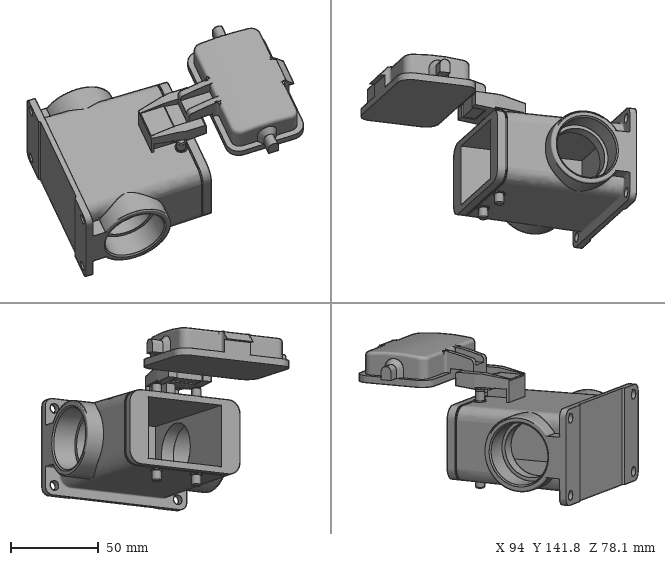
import cadquery as cq
import math

OVERLAP = 0.7

PLATE_X, PLATE_Z, PLATE_T = 94.0, 56.0, 4.1
PLATE_CORNER_R = 4.5
SCREW_D, SCREW_X, SCREW_Z = 5.5, 41.0, 22.4
RELIEF_X, RELIEF_DEPTH = 56.2, 1.0

BODY_Y = 80.5
BODY_BASE_X, BODY_BASE_Z = 75.2, 45.1
BODY_END_X, BODY_END_Z = 73.2, 43.1
BODY_CORNER_R = 7.5
GROOVE_Y, GROOVE_W, GROOVE_DEPTH = 74.6, 0.9, 0.3
CAVITY_X, CAVITY_Z, CAVITY_FLOOR_Y = 48.5, 35.7, 7.1
BASE_FILLET_R = 0.9
TRIM_X = 8.5

PORT_Y, PORT_R = 29.9, 21.8
PORT_BORE_R = 16.0
PORT_COUNTERBORE_R, PORT_COUNTERBORE_DEPTH = 18.0, 14.9
PORT_EDGE_R, PORT_MOUTH_CHAMFER = 0.9, 0.9
PORT_WEB_Z = 24.1

PIN_X, PIN_Y, PIN_R = 13.2, 71.0, 2.7
PIN_TIP_Z = 28.5
PIN_EDGE = 0.7
COLLAR_R, COLLAR_H = 3.47, 0.9

BRACKET_OUTER_X, BRACKET_END_X, HINGE_GAP_X = 28.6, 21.0, 17.2
BRACKET_TIP_Y, BRACKET_SLOPE_Y, BRACKET_END_Y = 86.0, 69.2, 54.0
BRACKET_TAPER_Y = 73.7
BRACKET_TOP_Z, BRACKET_END_Z, BRACKET_BOTTOM_Z = 37.6, 35.3, 29.6
BRACKET_TIP_CHAMFER = 0.7
HEEL_X, HEEL_Y, HEEL_Z = 24.7, 65.4, PIN_TIP_Z
SEAT_END_Z, SEAT_RIDGE_Z, SEAT_LOW_Z = 34.3, 35.0, 33.0
SEAT_STEP, SEAT_EDGE, SEAT_LOW_Y = 0.4, 0.5, 76.5
END_WALL_T = 1.4
RIB_Y, RIB_FLARE_Y, RIB_LEFT_X = 74.2, 60.5, 2.8

LID_Y = 115.5
LID_FLANGE_X, LID_FLANGE_Y, LID_FLANGE_R = 74.9, 46.8, 7.8
LID_BOTTOM_Z, LID_FLANGE_TOP_Z = 31.5, 35.6
LID_X, LID_DEPTH, LID_CORNER_R = 68.1, 40.0, 5.1
LID_FRONT_Y, LID_BACK_Y = LID_Y - LID_DEPTH / 2, LID_Y + LID_DEPTH / 2
LID_SIDE_Z, LID_CROWN_Z = 48.1, 49.6
LID_EDGE_R = 2.0
LID_BLEND_R = 1.7

LATCH_TIP_Y, LATCH_TIP_Z = 141.8, 42.8
LATCH_TOP_Y = 137.1
ARM_END_Y, ARM_BOTTOM_Z, ARM_KNUCKLE_Y = 77.6, 38.0, 85.1
ARM_NOSE_R = 2.8
ARM_RECESS_X, ARM_RECESS_Z = 9.8, 40.7
LUG_X, LUG_R, LUG_AXIS_Z = 89.0, 3.05, 40.4
LUG_CONE_R = 6.5


def xz_plane(y):
    """Workplane parallel to XZ at the given Y; local x points along -X, extruding toward +Y."""
    return cq.Workplane(cq.Plane(origin=(0, y, 0), xDir=(-1, 0, 0), normal=(0, 1, 0)))


def yz_prism(points, width):
    """Prism with a (Y, Z) outline, centred on X = 0."""
    return cq.Workplane("YZ").polyline(points).close().extrude(width / 2, both=True)


def upright_block(size_x, size_y, radius, z0, z1):
    """Round-cornered block of the lid, from z0 to z1."""
    block = cq.Workplane("XY").box(size_x, size_y, z1 - z0, centered=(True, True, False))
    return block.edges("|Z").fillet(radius).translate((0, LID_Y, z0))


def x_cylinder(radius, half_length):
    """Cylinder on the port axis, centred on X = 0."""
    return cq.Workplane("YZ").center(PORT_Y, 0).circle(radius).extrude(half_length, both=True)


def plate_outline_prism(depth):
    """Round-cornered prism with the plate outline, from Y = 0."""
    return xz_plane(0).rect(PLATE_X, PLATE_Z).extrude(depth).edges("|Y").fillet(PLATE_CORNER_R)


def hood_body():
    def section(size_x, size_z):
        return cq.Sketch().rect(size_x, size_z).vertices().fillet(BODY_CORNER_R)

    body = (
        xz_plane(0)
        .placeSketch(
            section(BODY_BASE_X, BODY_BASE_Z),
            section(BODY_END_X, BODY_END_Z).moved(cq.Location(cq.Vector(0, 0, BODY_Y))),
        )
        .loft()
    )
    groove_outer = xz_plane(GROOVE_Y).rect(PLATE_X, PLATE_Z).extrude(GROOVE_W)
    groove_core = xz_plane(GROOVE_Y).placeSketch(
        section(BODY_END_X - 2 * GROOVE_DEPTH, BODY_END_Z - 2 * GROOVE_DEPTH)
    ).extrude(GROOVE_W)
    return body.cut(groove_outer.cut(groove_core))


def port_bosses():
    bosses = x_cylinder(PORT_R, PLATE_X / 2).faces("<X or >X").edges().fillet(PORT_EDGE_R)
    web = cq.Workplane("XY").box(PLATE_X + TRIM_X, PORT_Y, PORT_WEB_Z).translate((0, PORT_Y / 2, 0))
    return bosses.union(web)


def port_bores():
    half = PLATE_X / 2
    bores = x_cylinder(PORT_BORE_R, half)
    step_x = half - PORT_COUNTERBORE_DEPTH
    for side in (-1, 1):
        start = cq.Workplane("YZ", origin=(side * step_x, PORT_Y, 0))
        bores = bores.union(start.circle(PORT_COUNTERBORE_R).extrude(side * PORT_COUNTERBORE_DEPTH))
        mouth_x = half - PORT_MOUTH_CHAMFER
        mouth = cq.Solid.makeCone(
            PORT_COUNTERBORE_R,
            PORT_COUNTERBORE_R + PORT_MOUTH_CHAMFER,
            PORT_MOUTH_CHAMFER,
            pnt=cq.Vector(side * mouth_x, PORT_Y, 0),
            dir=cq.Vector(side, 0, 0),
        )
        bores = bores.union(cq.Workplane(mouth))
    return bores


def housing():
    plate_blank = xz_plane(0).rect(PLATE_X + TRIM_X, PLATE_Z).extrude(PLATE_T)
    blank = plate_blank.union(hood_body()).union(port_bosses())
    foot_edges = cq.selectors.BoxSelector(
        (-PLATE_X / 2, PLATE_T - OVERLAP, -BODY_BASE_Z / 2 - OVERLAP),
        (PLATE_X / 2, PLATE_T + OVERLAP, BODY_BASE_Z / 2 + OVERLAP),
    )
    housing_solid = blank.edges(foot_edges).fillet(BASE_FILLET_R).intersect(plate_outline_prism(BODY_Y))
    cavity = xz_plane(CAVITY_FLOOR_Y).rect(CAVITY_X, CAVITY_Z).extrude(BODY_Y - CAVITY_FLOOR_Y)
    housing_solid = housing_solid.cut(cavity)
    housing_solid = housing_solid.cut(port_bores())
    screws = xz_plane(0).rect(2 * SCREW_X, 2 * SCREW_Z, forConstruction=True).vertices()
    housing_solid = housing_solid.cut(screws.circle(SCREW_D / 2).extrude(PLATE_T))
    half, foot = RELIEF_X / 2, RELIEF_X / 2 + RELIEF_DEPTH
    relief = (
        cq.Workplane("XY")
        .polyline([(-foot, 0), (-half, RELIEF_DEPTH), (half, RELIEF_DEPTH), (foot, 0)])
        .close()
        .extrude(PLATE_Z / 2, both=True)
    )
    return housing_solid.cut(relief)


def locking_pins():
    """Four pins with base collars, rooted inside the upper and lower body walls."""
    root_z = CAVITY_Z / 2
    collar_h = BODY_END_Z / 2 + COLLAR_H - root_z
    upper = (
        cq.Workplane("XY")
        .workplane(offset=root_z)
        .pushPoints([(-PIN_X, PIN_Y), (PIN_X, PIN_Y)])
        .circle(PIN_R)
        .extrude(PIN_TIP_Z - root_z)
        .faces(">Z")
        .edges()
        .chamfer(PIN_EDGE)
    )
    collars = cq.Workplane("XY").workplane(offset=root_z).pushPoints([(-PIN_X, PIN_Y), (PIN_X, PIN_Y)])
    upper = upper.union(collars.circle(COLLAR_R).extrude(collar_h))
    return upper.union(upper.mirror("XY"))


def hinge_bracket():
    wall_y = BRACKET_END_Y + END_WALL_T
    foot_z = BODY_END_Z / 2
    arms = yz_prism(
        [
            (BRACKET_TIP_Y, BRACKET_TOP_Z - BRACKET_TIP_CHAMFER),
            (BRACKET_TIP_Y - BRACKET_TIP_CHAMFER, BRACKET_TOP_Z),
            (BRACKET_SLOPE_Y, BRACKET_TOP_Z),
            (BRACKET_END_Y, BRACKET_END_Z),
            (BRACKET_END_Y, foot_z),
            (wall_y, foot_z),
            (wall_y, BRACKET_BOTTOM_Z),
            (BRACKET_TAPER_Y, BRACKET_BOTTOM_Z),
            (BRACKET_TAPER_Y, HEEL_Z),
            (BRACKET_TIP_Y, BRACKET_BOTTOM_Z),
        ],
        BRACKET_OUTER_X,
    )
    seat_clearance = yz_prism(
        [
            (BRACKET_END_Y, SEAT_END_Z),
            (BRACKET_END_Y + SEAT_EDGE, SEAT_END_Z + SEAT_EDGE),
            (BRACKET_SLOPE_Y - SEAT_STEP, SEAT_RIDGE_Z),
            (BRACKET_SLOPE_Y, SEAT_RIDGE_Z - SEAT_STEP),
            (SEAT_LOW_Y, SEAT_LOW_Z),
            (ARM_END_Y, SEAT_LOW_Z),
            (ARM_END_Y, HEEL_Z),
            (BRACKET_TIP_Y, HEEL_Z),
            (BRACKET_TIP_Y, BRACKET_TOP_Z),
            (BRACKET_END_Y, BRACKET_TOP_Z),
        ],
        HINGE_GAP_X,
    )
    outer, end = BRACKET_OUTER_X / 2, BRACKET_END_X / 2
    plan = (
        cq.Workplane("XY")
        .polyline(
            [
                (-outer, BRACKET_TIP_Y),
                (-outer, BRACKET_TAPER_Y),
                (-end, BRACKET_END_Y),
                (end, BRACKET_END_Y),
                (outer, BRACKET_TAPER_Y),
                (outer, BRACKET_TIP_Y),
            ]
        )
        .close()
        .extrude(BRACKET_TOP_Z)
    )
    heel_size = (HEEL_X, BRACKET_TAPER_Y - HEEL_Y, BRACKET_BOTTOM_Z - HEEL_Z)
    heel = cq.Workplane("XY").box(*heel_size, centered=(True, False, False)).translate((0, HEEL_Y, HEEL_Z))
    return arms.cut(seat_clearance).intersect(plan).union(heel).union(bracket_rib())


def bracket_rib():
    """Rib between bracket and body, flaring at 45 degrees into the end wall."""
    wall_y = BRACKET_END_Y + END_WALL_T / 2
    right_x = HINGE_GAP_X / 2
    rib_plan = [
        (RIB_LEFT_X, RIB_Y),
        (RIB_LEFT_X, RIB_FLARE_Y),
        (RIB_LEFT_X - (RIB_FLARE_Y - wall_y), wall_y),
        (right_x, wall_y),
        (right_x, RIB_Y),
    ]
    root_z = CAVITY_Z / 2 + OVERLAP
    rib = cq.Workplane("XY").workplane(offset=root_z).polyline(rib_plan).close()
    return rib.extrude(BRACKET_BOTTOM_Z + OVERLAP - root_z)


def crown_z(y):
    """Height of the arched lid top at the given Y."""
    half, rise = LID_DEPTH / 2, LID_CROWN_Z - LID_SIDE_Z
    radius = (half**2 + rise**2) / (2 * rise)
    return LID_CROWN_Z - radius + math.sqrt(radius**2 - (y - LID_Y) ** 2)


def lid_shell():
    flange = upright_block(LID_FLANGE_X, LID_FLANGE_Y, LID_FLANGE_R, LID_BOTTOM_Z, LID_FLANGE_TOP_Z)
    block = upright_block(LID_X, LID_DEPTH, LID_CORNER_R, LID_BOTTOM_Z, LID_CROWN_Z)
    crown = (
        cq.Workplane("YZ")
        .moveTo(LID_FRONT_Y, LID_BOTTOM_Z)
        .lineTo(LID_FRONT_Y, LID_SIDE_Z)
        .threePointArc((LID_Y, LID_CROWN_Z), (LID_BACK_Y, LID_SIDE_Z))
        .lineTo(LID_BACK_Y, LID_BOTTOM_Z)
        .close()
        .extrude(LID_X / 2, both=True)
    )
    block = block.intersect(crown).faces(">Z").edges().fillet(LID_EDGE_R)
    return block.union(flange)


def corner_blends(wall_y, outward):
    """Concave blends where a hinge-wide part meets the lid wall; outward is the wall normal along Y."""
    edge_x = HINGE_GAP_X / 2
    mid = LID_BLEND_R * (1 - math.sqrt(0.5))
    blend = (
        cq.Workplane("XY")
        .workplane(offset=LID_BOTTOM_Z)
        .moveTo(edge_x - OVERLAP, wall_y - outward * LID_EDGE_R)
        .lineTo(edge_x + LID_BLEND_R, wall_y - outward * LID_EDGE_R)
        .lineTo(edge_x + LID_BLEND_R, wall_y)
        .threePointArc((edge_x + mid, wall_y + outward * mid), (edge_x, wall_y + outward * LID_BLEND_R))
        .lineTo(edge_x - OVERLAP, wall_y + outward * LID_BLEND_R)
        .close()
        .extrude(LID_SIDE_Z - LID_BOTTOM_Z)
    )
    return blend.union(blend.mirror("YZ"))


def lid_latch():
    wall_y = LID_Y + LID_FLANGE_Y / 2
    root_y = LID_BACK_Y - LID_CORNER_R
    mid_y = (root_y + LATCH_TOP_Y) / 2
    latch = (
        cq.Workplane("YZ")
        .moveTo(root_y, LID_BOTTOM_Z)
        .lineTo(wall_y, LID_BOTTOM_Z)
        .lineTo(wall_y, LATCH_TIP_Z)
        .lineTo(LATCH_TIP_Y, LATCH_TIP_Z)
        .lineTo(LATCH_TOP_Y, crown_z(LATCH_TOP_Y))
        .threePointArc((mid_y, crown_z(mid_y)), (root_y, crown_z(root_y)))
        .close()
        .extrude(HINGE_GAP_X / 2, both=True)
    )
    return latch.union(corner_blends(LID_BACK_Y, 1))


def hinge_arm():
    flange_y = LID_Y - LID_FLANGE_Y / 2
    root_y = LID_FRONT_Y + LID_CORNER_R
    nose_y = ARM_END_Y + ARM_NOSE_R
    nose_z = crown_z(nose_y)
    mid_y = (root_y + nose_y) / 2
    arc_offset = ARM_NOSE_R * (1 - math.sqrt(0.5))
    arm = (
        cq.Workplane("YZ")
        .moveTo(root_y, LID_FLANGE_TOP_Z - OVERLAP)
        .lineTo(flange_y, LID_FLANGE_TOP_Z - OVERLAP)
        .lineTo(flange_y, ARM_BOTTOM_Z)
        .lineTo(ARM_KNUCKLE_Y, ARM_BOTTOM_Z)
        .lineTo(ARM_KNUCKLE_Y, BRACKET_BOTTOM_Z)
        .lineTo(ARM_END_Y, BRACKET_BOTTOM_Z)
        .lineTo(ARM_END_Y, nose_z - ARM_NOSE_R)
        .threePointArc((ARM_END_Y + arc_offset, nose_z - arc_offset), (nose_y, nose_z))
        .threePointArc((mid_y, crown_z(mid_y)), (root_y, crown_z(root_y)))
        .close()
        .extrude(HINGE_GAP_X / 2, both=True)
    )
    recess_size = (ARM_RECESS_X, root_y - ARM_END_Y, LID_CROWN_Z - ARM_RECESS_Z)
    recess = cq.Workplane("XY").box(*recess_size, centered=(True, False, False))
    arm = arm.cut(recess.translate((0, ARM_END_Y, ARM_RECESS_Z)))
    return arm.union(corner_blends(LID_FRONT_Y, -1))


def side_lugs():
    """Arch-shaped lugs on both ends of the lid, each with a flared root."""
    def arch(x, radius):
        plane = cq.Workplane("YZ", origin=(x, LID_Y, LUG_AXIS_Z))
        foot = LID_FLANGE_TOP_Z - LUG_AXIS_Z
        outline = plane.moveTo(-radius, foot).lineTo(-radius, 0).threePointArc((0, radius), (radius, 0))
        return outline.lineTo(radius, foot).close()

    wall_x = LID_X / 2 - OVERLAP
    tip_x = LID_FLANGE_X / 2
    lug = arch(wall_x, LUG_R).extrude(LUG_X / 2 - wall_x)
    root_faces = [arch(wall_x, LUG_CONE_R).wires().val(), arch(tip_x, LUG_R).wires().val()]
    lug = lug.union(cq.Workplane(cq.Solid.makeLoft(root_faces, True)))
    return lug.union(lug.mirror("YZ"))


lid = lid_shell().union(lid_latch()).union(hinge_arm()).union(side_lugs())
result = housing().union(locking_pins()).union(hinge_bracket()).union(lid)